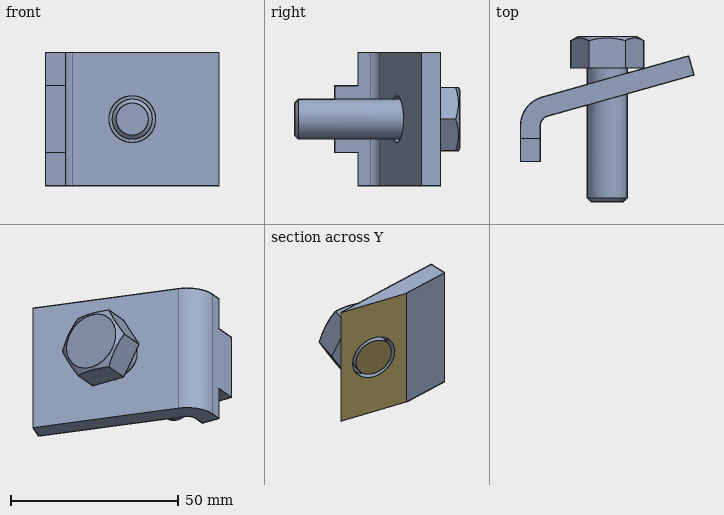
import cadquery as cq
import math


SHANK_DIAMETER = 12.0
SHANK_LENGTH = 40.0
TIP_CHAMFER = 1.2
HEAD_HEIGHT = 9.5
HEAD_ACROSS_FLATS = 19.0
HEAD_FACE_DIAMETER = 17.4
HEAD_CHAMFER_ANGLE = 30.0

PLATE_WIDTH = 40.0
PLATE_THICKNESS = 6.0
PLATE_SPAN = 52.0
PLATE_TILT = 15.7
INNER_BEND_RADIUS = 3.0
BEND_CENTRE_Y = -17.25
LEG_END_Y = -21.0
TAB_LENGTH = 6.95
TAB_WIDTH = 20.0
HOLE_DIAMETER = 14.0

LEFT_X = -PLATE_SPAN / 2
RIGHT_X = PLATE_SPAN / 2
LEG_INNER_X = LEFT_X + PLATE_THICKNESS
OUTER_BEND_RADIUS = INNER_BEND_RADIUS + PLATE_THICKNESS
BEND_CENTRE_X = LEFT_X + OUTER_BEND_RADIUS


def bend_point(radius, angle):
    """Point on a circle about the bend axis; angle in degrees from +X."""
    turn = math.radians(angle)
    return (BEND_CENTRE_X + radius * math.cos(turn), BEND_CENTRE_Y + radius * math.sin(turn))


def make_clamp_plate():
    """Plate bent from a short straight leg into a tilted arm, with a tab and a bolt hole."""
    arc_end = 90 + PLATE_TILT
    arc_middle = (180 + arc_end) / 2
    tilt = math.radians(PLATE_TILT)
    inner_arm_start = bend_point(INNER_BEND_RADIUS, arc_end)
    inner_arm_end = (
        RIGHT_X,
        inner_arm_start[1] + (RIGHT_X - inner_arm_start[0]) * math.tan(tilt),
    )
    outer_arm_end = (
        inner_arm_end[0] - PLATE_THICKNESS * math.sin(tilt),
        inner_arm_end[1] + PLATE_THICKNESS * math.cos(tilt),
    )
    plate = (
        cq.Workplane("XY")
        .moveTo(LEFT_X, LEG_END_Y)
        .lineTo(LEFT_X, BEND_CENTRE_Y)
        .threePointArc(bend_point(OUTER_BEND_RADIUS, arc_middle), bend_point(OUTER_BEND_RADIUS, arc_end))
        .lineTo(*outer_arm_end)
        .lineTo(*inner_arm_end)
        .lineTo(*inner_arm_start)
        .threePointArc(bend_point(INNER_BEND_RADIUS, arc_middle), (LEG_INNER_X, BEND_CENTRE_Y))
        .lineTo(LEG_INNER_X, LEG_END_Y)
        .close()
        .extrude(PLATE_WIDTH / 2, both=True)
    )
    tab = cq.Workplane("XY").box(PLATE_THICKNESS, TAB_LENGTH, TAB_WIDTH).translate(
        (LEFT_X + PLATE_THICKNESS / 2, LEG_END_Y - TAB_LENGTH / 2, 0)
    )
    hole = cq.Workplane("XZ").circle(HOLE_DIAMETER / 2).extrude(PLATE_SPAN, both=True)
    return plate.union(tab).cut(hole)


def make_bolt():
    """Hexagon head bolt, with two head corners on the X axis."""
    across_corners = HEAD_ACROSS_FLATS / math.cos(math.radians(30))
    head = cq.Workplane("XZ").polygon(6, across_corners).extrude(-HEAD_HEIGHT)

    face_radius = HEAD_FACE_DIAMETER / 2
    cone_slope = math.tan(math.radians(HEAD_CHAMFER_ANGLE))
    cone_base_radius = face_radius + HEAD_HEIGHT / cone_slope
    cone = (
        cq.Workplane("XY")
        .polyline([(0, 0), (cone_base_radius, 0), (face_radius, HEAD_HEIGHT), (0, HEAD_HEIGHT)])
        .close()
        .revolve(360, (0, 0, 0), (0, 1, 0))
    )
    shank = (
        cq.Workplane("XZ")
        .circle(SHANK_DIAMETER / 2)
        .extrude(SHANK_LENGTH)
        .faces("<Y")
        .chamfer(TIP_CHAMFER)
    )
    return head.intersect(cone).union(shank)


clamp_plate = make_clamp_plate()
bolt = make_bolt()
result = cq.Compound.makeCompound([*clamp_plate.solids().vals(), *bolt.solids().vals()])